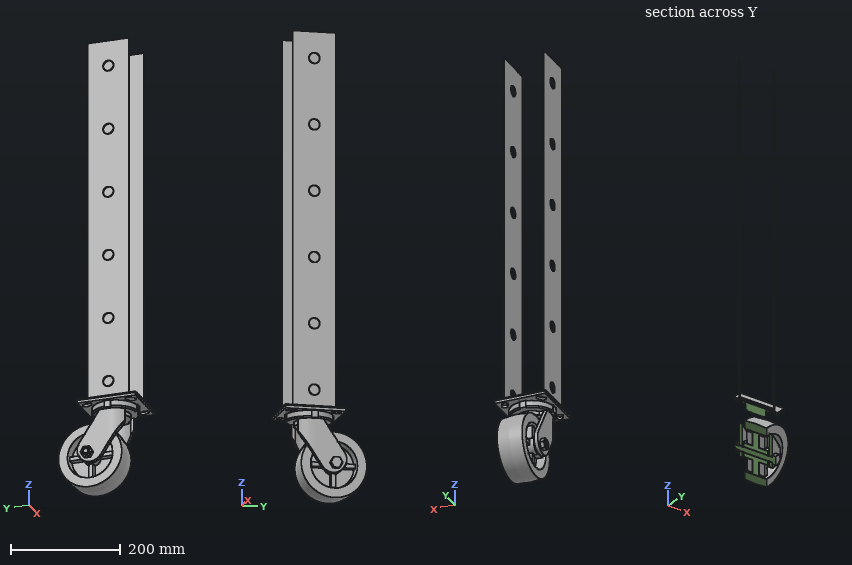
import cadquery as cq
import math


WHEEL_DIAMETER = 127.0
WHEEL_WIDTH = 50.5
CROWN_DROP = 2.0
CORE_DIAMETER = 88.0
POCKET_TAPER = 3.0
WEB_THICKNESS = 16.0
SPOKE_WIDTH = 8.0
SPOKE_SPAN = 40.0
SPOKE_COUNT = 4
HUB_DIAMETER = 31.0
HUB_LENGTH = 56.0
AXLE_DIAMETER = 13.0
HEX_ACROSS_FLATS = 19.0
HEX_THICKNESS = 8.0
AXLE_TIP = 3.0
TIP_CHAMFER = 2.0
TRAIL = 41.0
AXLE_Z = WHEEL_DIAMETER / 2

FORK_TOP_Z = 145.0
ARM_GAP = 61.0
ARM_THICKNESS = 7.4
FORK_HALF_WIDTH = ARM_GAP / 2 + ARM_THICKNESS
FRONT_OPENING = 45.0
ARM_FRONT_Y = -27.0
ARM_SLOPE = 57.0
ARM_END_RADIUS = 25.0
ARM_END_SHIFT = 9.0
CROWN_DIAMETER = 56.0
CROWN_THICKNESS = 8.0
CROWN_BRIDGE = 35.0

RING_DIAMETER = 87.0
RING_CHAMFER = 3.0
TAB_WIDTH = 12.0
TAB_HEIGHT = 1.05
TAB_COUNT = 4
PLATE_X = 102.0
PLATE_Y = 114.0
CASTER_PLATE_BOTTOM_Z = 158.0
CASTER_PLATE_THICKNESS = 5.0
SLOT_WIDTH = 11.0
SLOT_OUTER = (34.0, 46.0)
SLOT_INNER = (38.0, 38.0)
COVER_PLATE_THICKNESS = 2.2

TOP_Z = 870.0
BRACKET_WIDTH = 81.0
SHEET = 2.2
HOLE_DIAMETER = 20.0
HOLE_COUNT = 6
HOLE_PITCH = 124.0
TOP_HOLE_DROP = 50.0

COVER_PLATE_BOTTOM_Z = CASTER_PLATE_BOTTOM_Z + CASTER_PLATE_THICKNESS
BRACKET_BOTTOM_Z = COVER_PLATE_BOTTOM_Z + COVER_PLATE_THICKNESS


def block(x_size, y_size, z_low, z_high):
    """Box centred on the swivel axis between two heights."""
    return cq.Workplane("XY").workplane(offset=z_low).rect(x_size, y_size).extrude(z_high - z_low)


def disc(diameter, z_low, z_high):
    """Upright cylinder on the swivel axis between two heights."""
    return cq.Workplane("XY").workplane(offset=z_low).circle(diameter / 2).extrude(z_high - z_low)


def along_axle(x_start):
    """Workplane across the axle at a given X, facing +X."""
    return cq.Workplane("YZ", origin=(x_start, TRAIL, AXLE_Z))


def axle_cylinder(diameter, x_low, x_high):
    return along_axle(x_low).circle(diameter / 2).extrude(x_high - x_low)


def revolve_about_axle(points):
    """Ring from a closed outline of (radius, x) points turned around the axle."""
    outline = [(x, radius) for radius, x in points]
    profile = cq.Workplane("XY", origin=(0, TRAIL, AXLE_Z)).polyline(outline).close()
    return profile.revolve(360, (0, 0), (1, 0))


def make_bracket():
    """U-shaped sheet channel with a row of holes through both sides."""
    inner_width = BRACKET_WIDTH - 2 * SHEET
    channel = block(BRACKET_WIDTH, BRACKET_WIDTH, BRACKET_BOTTOM_Z, TOP_Z)
    channel = channel.cut(block(inner_width, BRACKET_WIDTH, BRACKET_BOTTOM_Z + SHEET, TOP_Z))
    for index in range(HOLE_COUNT):
        hole_z = TOP_Z - TOP_HOLE_DROP - index * HOLE_PITCH
        drill = cq.Workplane("YZ", origin=(0, 0, hole_z)).circle(HOLE_DIAMETER / 2)
        channel = channel.cut(drill.extrude(BRACKET_WIDTH, both=True))
    return channel


def make_cover_plate():
    return block(PLATE_X, PLATE_Y, COVER_PLATE_BOTTOM_Z, BRACKET_BOTTOM_Z)


def make_ring():
    """Swivel ring with four flat tabs, seated through the caster plate."""
    ring = disc(RING_DIAMETER, FORK_TOP_Z, COVER_PLATE_BOTTOM_Z)
    ring = ring.faces("<Z").chamfer(RING_CHAMFER)
    reach = RING_DIAMETER / 2 + TAB_HEIGHT
    tab = block(reach, TAB_WIDTH, FORK_TOP_Z, COVER_PLATE_BOTTOM_Z).translate((reach / 2, 0, 0))
    for index in range(TAB_COUNT):
        ring = ring.union(tab.rotate((0, 0, 0), (0, 0, 1), index * 360 / TAB_COUNT))
    return ring


def make_caster_plate(ring):
    """Slotted top plate of the caster with an opening that fits the ring."""
    plate = block(PLATE_X, PLATE_Y, CASTER_PLATE_BOTTOM_Z, COVER_PLATE_BOTTOM_Z)
    run_x = SLOT_INNER[0] - SLOT_OUTER[0]
    run_y = SLOT_INNER[1] - SLOT_OUTER[1]
    slot_length = math.hypot(run_x, run_y) + SLOT_WIDTH
    slot_angle = math.degrees(math.atan2(run_y, run_x))
    middle_x = (SLOT_INNER[0] + SLOT_OUTER[0]) / 2
    middle_y = (SLOT_INNER[1] + SLOT_OUTER[1]) / 2
    for side_x in (-1, 1):
        for side_y in (-1, 1):
            slot = (
                cq.Workplane("XY")
                .workplane(offset=CASTER_PLATE_BOTTOM_Z)
                .center(side_x * middle_x, side_y * middle_y)
                .slot2D(slot_length, SLOT_WIDTH, side_x * side_y * slot_angle)
                .extrude(CASTER_PLATE_THICKNESS)
            )
            plate = plate.cut(slot)
    return plate.cut(ring)


def arm_side_profile():
    """Side outline of the arms: a sloping strap with a round end at the axle."""
    slope = math.radians(ARM_SLOPE)
    along = (-math.cos(slope), math.sin(slope))
    across = (math.sin(slope), math.cos(slope))
    end_y = TRAIL + ARM_END_SHIFT * along[0]
    end_z = AXLE_Z + ARM_END_SHIFT * along[1]
    rear = (end_y + ARM_END_RADIUS * across[0], end_z + ARM_END_RADIUS * across[1])
    front = (end_y - ARM_END_RADIUS * across[0], end_z - ARM_END_RADIUS * across[1])
    tip = (end_y - ARM_END_RADIUS * along[0], end_z - ARM_END_RADIUS * along[1])
    rear_top_y = rear[0] - (FORK_TOP_Z - rear[1]) / math.tan(slope)
    front_corner_z = front[1] + (front[0] - ARM_FRONT_Y) * math.tan(slope)
    return (
        cq.Workplane("YZ")
        .moveTo(ARM_FRONT_Y, FORK_TOP_Z)
        .lineTo(rear_top_y, FORK_TOP_Z)
        .lineTo(*rear)
        .threePointArc(tip, front)
        .lineTo(ARM_FRONT_Y, front_corner_z)
        .close()
    )


def round_fronted_block(width, rear_reach):
    """Fork-high block with a half-round front about the swivel axis and a straight rear."""
    rear = block(width, rear_reach, 0, FORK_TOP_Z).translate((0, rear_reach / 2, 0))
    return disc(width, 0, FORK_TOP_Z).union(rear)


def make_fork():
    """Round crown with two arms that curve inward at the front and carry the axle."""
    rear_reach = TRAIL + 2 * ARM_END_RADIUS
    outer = round_fronted_block(2 * FORK_HALF_WIDTH, rear_reach)
    gap = round_fronted_block(ARM_GAP, rear_reach)
    gap = gap.union(block(FRONT_OPENING, 2 * FORK_HALF_WIDTH, 0, FORK_TOP_Z))
    arms = arm_side_profile().extrude(FORK_HALF_WIDTH, both=True).intersect(outer).cut(gap)

    crown_bottom_z = FORK_TOP_Z - CROWN_THICKNESS
    crown = disc(CROWN_DIAMETER, crown_bottom_z, FORK_TOP_Z)
    crown = crown.union(block(ARM_GAP, CROWN_BRIDGE, crown_bottom_z, FORK_TOP_Z))
    return arms.union(crown).cut(axle_cylinder(AXLE_DIAMETER, -FORK_HALF_WIDTH, FORK_HALF_WIDTH))


def make_tire():
    """Solid tire with a tread that peaks at the middle."""
    inner = CORE_DIAMETER / 2
    outer = WHEEL_DIAMETER / 2
    side = WHEEL_WIDTH / 2
    return revolve_about_axle(
        [(inner, -side), (outer - CROWN_DROP, -side), (outer, 0), (outer - CROWN_DROP, side), (inner, side)]
    )


def make_wheel_core():
    """Web with tapered pockets on both sides, a hub and spokes."""
    rim = CORE_DIAMETER / 2
    pocket_floor = rim - POCKET_TAPER
    side = WHEEL_WIDTH / 2
    web = WEB_THICKNESS / 2
    core = revolve_about_axle(
        [(0, -web), (pocket_floor, -web), (rim, -side), (rim, side), (pocket_floor, web), (0, web)]
    )
    core = core.union(axle_cylinder(HUB_DIAMETER, -HUB_LENGTH / 2, HUB_LENGTH / 2))
    spoke = along_axle(-SPOKE_SPAN / 2).center(pocket_floor / 2, 0).rect(pocket_floor, SPOKE_WIDTH)
    spoke = spoke.extrude(SPOKE_SPAN)
    for index in range(SPOKE_COUNT):
        turn = index * 360 / SPOKE_COUNT
        core = core.union(spoke.rotate((0, TRAIL, AXLE_Z), (1, TRAIL, AXLE_Z), turn))
    return core.cut(axle_cylinder(AXLE_DIAMETER, -HUB_LENGTH / 2, HUB_LENGTH / 2))


def hexagon(x_start):
    """Hexagonal head with flats facing up and down."""
    across_corners = HEX_ACROSS_FLATS / math.cos(math.pi / 6)
    return along_axle(x_start).polygon(6, across_corners).extrude(HEX_THICKNESS)


def make_axle_bolt():
    shank_start = -FORK_HALF_WIDTH - HEX_THICKNESS - AXLE_TIP
    shank = axle_cylinder(AXLE_DIAMETER, shank_start, FORK_HALF_WIDTH).faces("<X").chamfer(TIP_CHAMFER)
    return shank.union(hexagon(FORK_HALF_WIDTH))


def make_nut():
    nut_start = -FORK_HALF_WIDTH - HEX_THICKNESS
    return hexagon(nut_start).cut(axle_cylinder(AXLE_DIAMETER, nut_start, -FORK_HALF_WIDTH))


bracket = make_bracket()
cover_plate = make_cover_plate()
ring = make_ring()
caster_plate = make_caster_plate(ring)
fork = make_fork()
tire = make_tire()
wheel_core = make_wheel_core()
axle_bolt = make_axle_bolt()
nut = make_nut()

result = cq.Compound.makeCompound(
    [
        bracket.val(),
        cover_plate.val(),
        caster_plate.val(),
        ring.val(),
        fork.val(),
        tire.val(),
        wheel_core.val(),
        axle_bolt.val(),
        nut.val(),
    ]
)